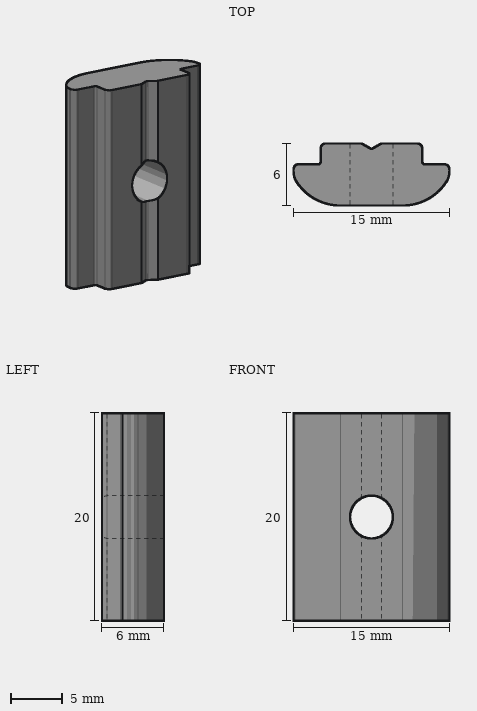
import cadquery as cq
import math

width = 15.01
thickness = 6.0
length = 20.0

neck_width = 9.8
neck_height = 2.0
outer_corner_radius = 0.5
inner_corner_radius = 0.2

groove_width = 1.9
groove_angle = 120.0
groove_root_radius = 0.3

flat_width = 6.0
belly_width = 14.68
belly_height = 2.5
side_wall_height = 0.7

hole_diameter = 4.1

shoulder_y = thickness - neck_height
side_wall_bottom_y = shoulder_y - side_wall_height
half_length = length / 2


def tangent_arc_radius(run, offset):
    """Radius of an arc that starts along a line and ends `run` along it and `offset` away from it."""
    return (run**2 + offset**2) / (2 * offset)


def right_half():
    """Half of the nut with X >= 0, without the groove and the hole."""
    flat_x = flat_width / 2
    neck_x = neck_width / 2
    side_x = width / 2
    belly_x = belly_width / 2
    belly_radius = tangent_arc_radius(belly_x - flat_x, belly_height)
    side_radius = tangent_arc_radius(side_wall_bottom_y - belly_height, side_x - belly_x)

    blank = (
        cq.Workplane("XY", origin=(0, 0, -half_length))
        .moveTo(0, 0)
        .lineTo(flat_x, 0)
        .radiusArc((belly_x, belly_height), -belly_radius)
        .radiusArc((side_x, side_wall_bottom_y), -side_radius)
        .lineTo(side_x, shoulder_y)
        .lineTo(neck_x, shoulder_y)
        .lineTo(neck_x, thickness)
        .lineTo(0, thickness)
        .close()
        .extrude(length)
    )
    for x, y, radius in (
        (side_x, shoulder_y, outer_corner_radius),
        (neck_x, thickness, outer_corner_radius),
        (neck_x, shoulder_y, inner_corner_radius),
    ):
        corner_edge = cq.selectors.NearestToPointSelector((x, y, 0))
        blank = blank.edges(corner_edge).fillet(radius)
    return blank


def groove():
    """V shaped cutter with a rounded root."""
    half_width = groove_width / 2
    depth = half_width / math.tan(math.radians(groove_angle / 2))
    root_edge = cq.selectors.NearestToPointSelector((0, thickness - depth, 0))
    return (
        cq.Workplane("XY", origin=(0, 0, -half_length))
        .moveTo(-half_width, thickness)
        .lineTo(0, thickness - depth)
        .lineTo(half_width, thickness)
        .close()
        .extrude(length)
        .edges(root_edge)
        .fillet(groove_root_radius)
    )


def cross_hole():
    """Through hole along Y at mid length."""
    return cq.Workplane("XZ").circle(hole_diameter / 2).extrude(-thickness)


half = right_half()
result = half.union(half.mirror("YZ")).clean().cut(groove()).cut(cross_hole())